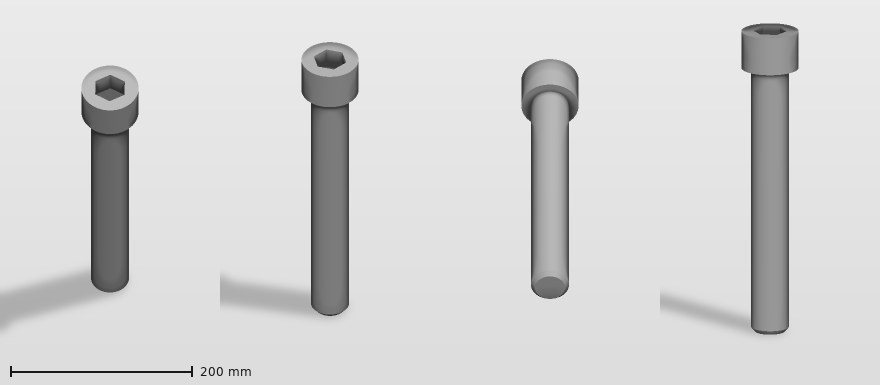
import cadquery as cq
import math

total_length = 342.0
head_diameter = 63.0
shank_diameter = 42.0
head_height = shank_diameter
tip_chamfer_height = 5.0
tip_chamfer_width = 4.5
socket_across_flats = 32.0
socket_depth = 24.0

head_radius = head_diameter / 2
shank_radius = shank_diameter / 2
tip_radius = shank_radius - tip_chamfer_width
bottom_z = -(total_length - head_height)


def make_body():
    """Revolve the half profile of head, shank and chamfered tip."""
    profile = [
        (0, bottom_z),
        (tip_radius, bottom_z),
        (shank_radius, bottom_z + tip_chamfer_height),
        (shank_radius, 0),
        (head_radius, 0),
        (head_radius, head_height),
        (0, head_height),
    ]
    return cq.Workplane("XZ").polyline(profile).close().revolve(360, (0, 0, 0), (0, 1, 0))


def make_socket():
    """Hexagonal socket with two corners on the X axis."""
    across_corners = socket_across_flats / math.cos(math.pi / 6)
    return (
        cq.Workplane("XY")
        .workplane(offset=head_height - socket_depth)
        .polygon(6, across_corners)
        .extrude(socket_depth)
    )


result = make_body().cut(make_socket())